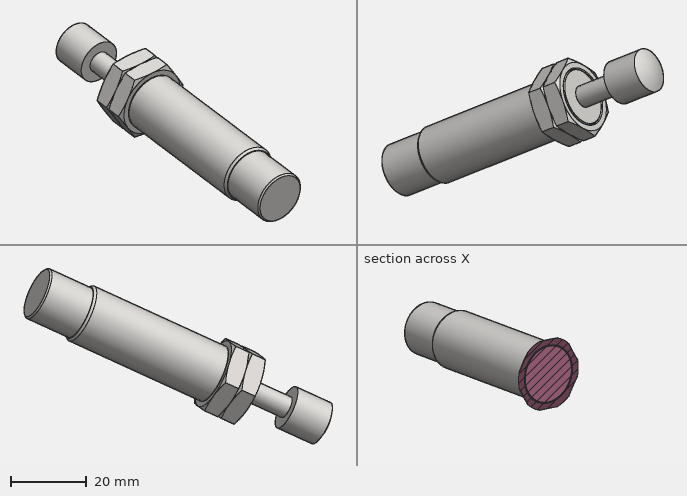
import cadquery as cq
import math

overall_length = 88.5

bumper_diameter = 12.0
dome_height = 1.4
bumper_end = 12.0
rod_diameter = 6.0

barrel_start = 24.3
barrel_end = 74.8
barrel_diameter = 16.0
barrel_chamfer_diameter = 15.0
barrel_chamfer_length = 0.7
tail_diameter = 14.5
tail_chamfer = 0.4

seat_diameter = (barrel_diameter + barrel_chamfer_diameter) / 2
seat_chamfer_length = barrel_chamfer_length / 2

nut_count = 2
nut_thickness = 5.05
nut_across_flats = 19.0
nut_across_corners = nut_across_flats / math.cos(math.radians(30))
nut_chamfer_angle = 20.0

seat_end = barrel_start + nut_count * nut_thickness


def make_absorber():
    """Bumper, rod, nut seat, barrel and tail as one turned solid."""
    bumper_radius = bumper_diameter / 2
    rod_radius = rod_diameter / 2
    barrel_radius = barrel_diameter / 2
    seat_radius = seat_diameter / 2
    barrel_face_radius = barrel_chamfer_diameter / 2
    tail_radius = tail_diameter / 2

    dome_radius = (bumper_radius**2 + dome_height**2) / (2 * dome_height)
    half_angle = math.asin(bumper_radius / dome_radius) / 2
    dome_middle = (
        dome_radius * (1 - math.cos(half_angle)),
        dome_radius * math.sin(half_angle),
    )

    profile = (
        cq.Workplane("XY")
        .moveTo(0, 0)
        .threePointArc(dome_middle, (dome_height, bumper_radius))
        .lineTo(bumper_end, bumper_radius)
        .lineTo(bumper_end, rod_radius)
        .lineTo(barrel_start, rod_radius)
        .lineTo(barrel_start, barrel_face_radius)
        .lineTo(barrel_start + seat_chamfer_length, seat_radius)
        .lineTo(seat_end, seat_radius)
        .lineTo(seat_end, barrel_radius)
        .lineTo(barrel_end, barrel_radius)
        .lineTo(barrel_end + barrel_chamfer_length, barrel_face_radius)
        .lineTo(barrel_end + barrel_chamfer_length, tail_radius)
        .lineTo(overall_length - tail_chamfer, tail_radius)
        .lineTo(overall_length, tail_radius - tail_chamfer)
        .lineTo(overall_length, 0)
        .close()
    )
    return profile.revolve(360, (0, 0, 0), (1, 0, 0))


def make_nut(start):
    """Hex nut from X = start, corners along Y, with a bore countersunk at both ends."""
    hexagon = (
        cq.Workplane("YZ", origin=(start, 0, 0))
        .polygon(6, nut_across_corners)
        .extrude(nut_thickness)
    )

    face_radius = nut_across_flats / 2
    corner_radius = nut_across_corners / 2
    chamfer_length = (corner_radius - face_radius) * math.tan(math.radians(nut_chamfer_angle))
    end = start + nut_thickness
    envelope = (
        cq.Workplane("XY")
        .moveTo(start, 0)
        .lineTo(start, face_radius)
        .lineTo(start + chamfer_length, corner_radius)
        .lineTo(end - chamfer_length, corner_radius)
        .lineTo(end, face_radius)
        .lineTo(end, 0)
        .close()
        .revolve(360, (0, 0, 0), (1, 0, 0))
    )

    bore_radius = seat_diameter / 2
    countersink_radius = barrel_diameter / 2
    bore = (
        cq.Workplane("XY")
        .moveTo(start, 0)
        .lineTo(start, countersink_radius)
        .lineTo(start + seat_chamfer_length, bore_radius)
        .lineTo(end - seat_chamfer_length, bore_radius)
        .lineTo(end, countersink_radius)
        .lineTo(end, 0)
        .close()
        .revolve(360, (0, 0, 0), (1, 0, 0))
    )
    return hexagon.intersect(envelope).cut(bore)


absorber = make_absorber()
nuts = [make_nut(barrel_start + index * nut_thickness) for index in range(nut_count)]

result = cq.Compound.makeCompound([absorber.val(), *[nut.val() for nut in nuts]])